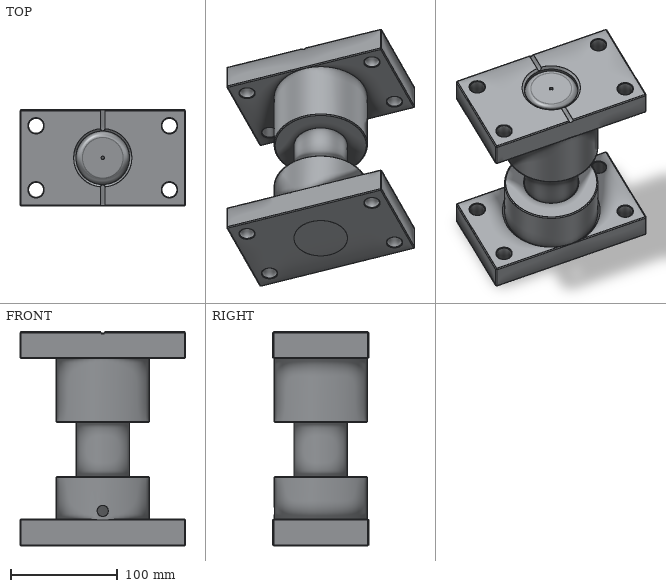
import cadquery as cq
total_height = 200.5
plate_length = 155.0
plate_width = 90.0
plate_thickness = 25.0
plate_chamfer = 1.0

bolt_spacing_x = 125.0
bolt_spacing_y = 60.0
bolt_hole_diameter = 14.0
bolt_hole_chamfer = 0.6

sleeve_radius = 43.7
sleeve_chamfer = 1.0
upper_sleeve_length = 60.0
lower_sleeve_length = 40.0
relief_depth = 2.0

pin_radius = 25.0
pin_end_fillet = 6.0
pin_setback = 1.0
pin_center_hole_diameter = 3.0
pin_center_hole_depth = 3.0
guide_bore_chamfer = 2.2
clamp_bore_chamfer = 0.8

vent_groove_radius = 2.0
screw_hole_diameter = 10.5
screw_hole_gap = 2.5

upper_plate_bottom = total_height - plate_thickness
upper_sleeve_bottom = upper_plate_bottom - upper_sleeve_length
lower_sleeve_top = plate_thickness + lower_sleeve_length
screw_hole_height = plate_thickness + screw_hole_gap + screw_hole_diameter / 2


def level(height):
    """Horizontal workplane at the given height."""
    return cq.Workplane("XY").workplane(offset=height)


def make_plate(bottom):
    """Chamfered rectangular plate with four bolt holes."""
    plate = (
        level(bottom)
        .box(plate_length, plate_width, plate_thickness, centered=(True, True, False))
        .edges()
        .chamfer(plate_chamfer)
    )
    bolt_holes = (
        level(bottom)
        .rect(bolt_spacing_x, bolt_spacing_y, forConstruction=True)
        .vertices()
        .circle(bolt_hole_diameter / 2)
        .extrude(plate_thickness)
    )
    return plate.cut(bolt_holes).edges("%CIRCLE").chamfer(bolt_hole_chamfer)


def make_sleeve(bottom, length, free_end):
    """Cylinder chamfered at its free end, chosen by a face selector."""
    return level(bottom).circle(sleeve_radius).extrude(length).faces(free_end).chamfer(sleeve_chamfer)


def make_pin_bore():
    """Cutter for the bore that takes the pin."""
    return level(0).circle(pin_radius).extrude(total_height)


def make_countersink(top, radius, depth):
    """Cone cutter that widens a round edge by its own depth at 45 degrees."""
    cone = cq.Solid.makeCone(radius, radius + depth, depth, cq.Vector(0, 0, top - depth))
    return cq.Workplane(obj=cone)


def make_upper_housing():
    """Plate with a hanging sleeve, a guide bore and vent grooves across its top."""
    housing = make_plate(upper_plate_bottom).union(
        make_sleeve(upper_sleeve_bottom, upper_sleeve_length, "<Z")
    )
    vent_groove = (
        cq.Workplane("XZ", origin=(0, 0, total_height))
        .circle(vent_groove_radius)
        .extrude(plate_width / 2, both=True)
    )
    return (
        housing.cut(make_pin_bore())
        .cut(make_countersink(total_height, pin_radius, guide_bore_chamfer))
        .cut(vent_groove)
    )


def make_lower_holder():
    """Plate with a standing sleeve, a clamp bore and a radial screw hole."""
    relief = make_countersink(plate_thickness, sleeve_radius, relief_depth)
    sleeve = make_sleeve(0, lower_sleeve_top, ">Z")
    screw_hole = (
        cq.Workplane("XZ", origin=(0, 0, screw_hole_height))
        .circle(screw_hole_diameter / 2)
        .extrude(sleeve_radius)
    )
    return (
        make_plate(0)
        .cut(relief)
        .union(sleeve)
        .cut(make_pin_bore())
        .cut(make_countersink(lower_sleeve_top, pin_radius, clamp_bore_chamfer))
        .cut(screw_hole)
    )


def make_pin():
    """Pin just below the upper plate's top, with a rounded end and a small center hole."""
    pin_length = total_height - pin_setback
    pin = level(0).circle(pin_radius).extrude(pin_length).faces(">Z").edges().fillet(pin_end_fillet)
    return pin.faces(">Z").workplane().hole(pin_center_hole_diameter, pin_center_hole_depth)


upper_housing = make_upper_housing()
lower_holder = make_lower_holder()
guide_pin = make_pin()

result = cq.Compound.makeCompound([upper_housing.val(), lower_holder.val(), guide_pin.val()])